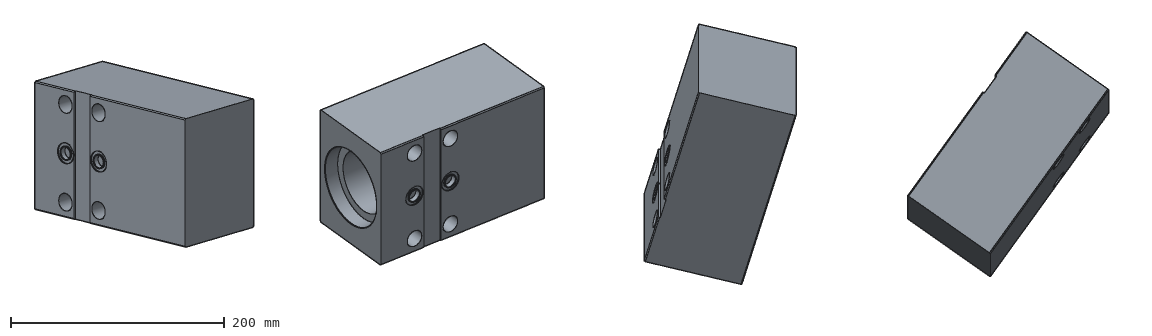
import cadquery as cq

length = 191.0
depth = 95.0
height = 125.0
edge_chamfer = 1.1

slot_start = 50.0
slot_width = 20.0
slot_depth = 2.0

bore_diameter = 63.0
bore_depth = 162.4
seat_diameter = 79.8
seat_depth = 14.9
seat_chamfer = 0.5

column_spacing = 42.0
bolt_diameter = 17.0
bolt_row_spacing = 95.0

port_diameter = 12.0
port_depth = 6.0
collar_diameter = 13.8
spotface_diameter = 20.0
spotface_depth = 1.3

left_face = -length / 2
front_face = -depth / 2
slot_center = left_face + slot_start + slot_width / 2
column_positions = [slot_center - column_spacing / 2, slot_center + column_spacing / 2]


def make_block():
    block = cq.Workplane("XY").box(length, depth, height)
    return block.edges("|X").chamfer(edge_chamfer)


def make_slot():
    slot = cq.Workplane("XY").box(slot_width, slot_depth, height)
    return slot.translate((slot_center, front_face + slot_depth / 2, 0))


def make_bore():
    """Bore, wider seat and the chamfer at the seat's mouth, as one turned profile."""
    bore_radius = bore_diameter / 2
    seat_radius = seat_diameter / 2
    seat_floor = left_face + seat_depth
    profile = (
        cq.Workplane("XY")
        .moveTo(left_face, 0)
        .lineTo(left_face, seat_radius + seat_chamfer)
        .lineTo(left_face + seat_chamfer, seat_radius)
        .lineTo(seat_floor, seat_radius)
        .lineTo(seat_floor, bore_radius)
        .lineTo(left_face + bore_depth, bore_radius)
        .lineTo(left_face + bore_depth, 0)
        .close()
    )
    return profile.revolve(360, (0, 0, 0), (1, 0, 0))


def make_bolt_hole(x, z):
    hole = cq.Workplane("XZ").circle(bolt_diameter / 2).extrude(depth)
    return hole.translate((x, depth / 2, z))


def make_front_disc(diameter, thickness):
    """Disc on the port axis, reaching inward from the front face."""
    disc = cq.Workplane("XZ").circle(diameter / 2).extrude(thickness)
    return disc.translate((0, front_face + thickness, 0))


def make_port(x):
    """Ring-shaped spotface that leaves the collar flush with the front face, plus the blind hole."""
    spotface = make_front_disc(spotface_diameter, spotface_depth)
    collar = make_front_disc(collar_diameter, spotface_depth)
    hole = make_front_disc(port_diameter, port_depth)
    return spotface.cut(collar).translate((x, 0, 0)), hole.translate((x, 0, 0))


result = make_block().cut(make_slot()).cut(make_bore())
for column_x in column_positions:
    spotface_ring, port_hole = make_port(column_x)
    result = result.cut(spotface_ring).cut(port_hole)
    for bolt_z in (-bolt_row_spacing / 2, bolt_row_spacing / 2):
        result = result.cut(make_bolt_hole(column_x, bolt_z))